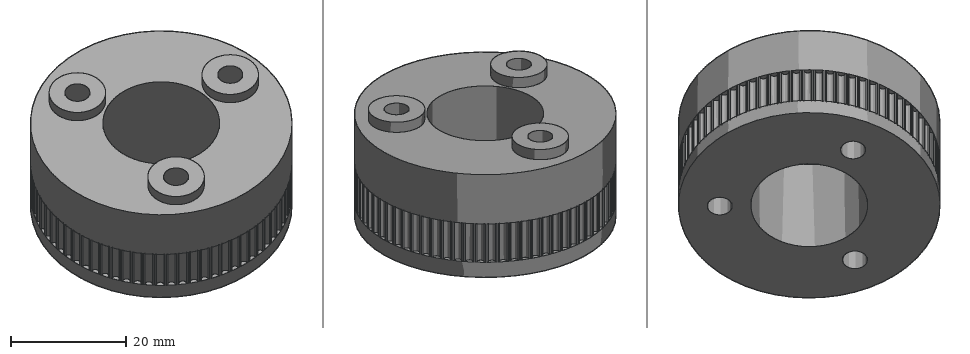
import cadquery as cq
import math

outer_diameter = 45.35
outer_radius = outer_diameter / 2
bore_diameter = 20.2
total_height = 22.15
boss_height = 2.0
body_height = total_height - boss_height
band_bottom = 3.0
band_top = 10.5

boss_count = 3
boss_circle_radius = 15.5
boss_diameter = 9.8
boss_hole_diameter = 4.3
first_boss_angle = 60.0

groove_count = 72
root_radius = 0.65
flank_depth = 0.15
land_width = 0.23


def groove_point(groove_angle, offset, depth):
    """Point at a sideways offset and a depth below the rim, for the groove centred on the angle."""
    radius = outer_radius - depth
    return (
        radius * math.cos(groove_angle) - offset * math.sin(groove_angle),
        radius * math.sin(groove_angle) + offset * math.cos(groove_angle),
    )


def rim_point(angle):
    """Point on the outer circle at an angle."""
    return groove_point(angle, 0, 0)


def toothed_band():
    """Belt band whose tooth lands lie on the outer cylinder."""
    pitch_angle = 2 * math.pi / groove_count
    half_land_angle = land_width / 2 / outer_radius
    half_mouth_angle = pitch_angle / 2 - half_land_angle
    outline = cq.Workplane("XY").workplane(offset=band_bottom)
    outline = outline.moveTo(*rim_point(-half_mouth_angle))
    for index in range(groove_count):
        angle = index * pitch_angle
        outline = (
            outline
            .lineTo(*groove_point(angle, -root_radius, flank_depth))
            .threePointArc(
                groove_point(angle, 0, flank_depth + root_radius),
                groove_point(angle, root_radius, flank_depth),
            )
            .lineTo(*rim_point(angle + half_mouth_angle))
            .threePointArc(
                rim_point(angle + pitch_angle / 2),
                rim_point(angle + pitch_angle - half_mouth_angle),
            )
        )
    return outline.close().extrude(band_top - band_bottom)


def disc(bottom, top):
    """Plain disc of the full outer diameter between two heights."""
    return cq.Workplane("XY").workplane(offset=bottom).circle(outer_radius).extrude(top - bottom)


def at_bosses(height):
    """Workplane at a height with one point on each boss axis."""
    return (
        cq.Workplane("XY")
        .workplane(offset=height)
        .polarArray(boss_circle_radius, first_boss_angle, 360, boss_count)
    )


flange = disc(0, band_bottom)
collar = disc(band_top, body_height)
body = flange.union(toothed_band()).union(collar)

bosses = at_bosses(body_height).circle(boss_diameter / 2).extrude(boss_height)
boss_holes = at_bosses(0).circle(boss_hole_diameter / 2).extrude(total_height)
bore = cq.Workplane("XY").circle(bore_diameter / 2).extrude(body_height)

result = body.union(bosses).cut(boss_holes).cut(bore)